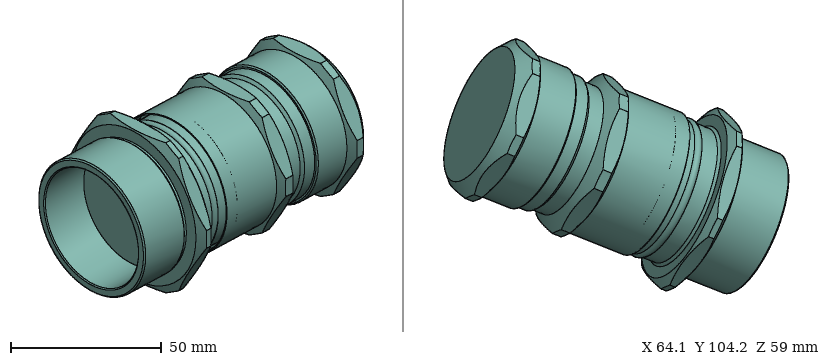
import cadquery as cq
import math

total_length = 104.2

sleeve_diameter = 50.0
undercut_diameter = 49.0
neck_diameter = 48.0
ring_diameter = 49.6
barrel_diameter = 51.1
recess_diameter = 50.2
groove_diameter = 46.0
cap_diameter = 50.4
bore_diameter = 43.6

sleeve_end = 18.7
sleeve_bevel_end = 19.3
flange_start, flange_end = 20.2, 26.1
flange_cone_end = 27.0
ring_start, ring_end = 32.8, 35.6
barrel_start = 38.4
recess_depth = 5.2
middle_nut_start, middle_nut_end = 61.7, 69.8
groove_end = 75.4
cap_start = 81.2
cap_nut_start = 95.2
bore_depth = 18.4

rim_chamfer = 0.5
bore_chamfer = 0.4

flange_flats, flange_corners = 59.0, 64.1
nut_flats, nut_corners = 52.3, 56.4
flange_face_diameter = 57.9
shallow_bevel = 30.0
steep_bevel = 45.0


def body():
    """Turned body as one revolved half-profile (radius, axial station)."""
    sleeve = sleeve_diameter / 2
    undercut = undercut_diameter / 2
    neck = neck_diameter / 2
    barrel = barrel_diameter / 2
    recess = recess_diameter / 2
    groove = groove_diameter / 2
    cap = cap_diameter / 2
    flange_cone_height = flange_cone_end - flange_end
    groove_step = neck - groove
    return (
        cq.Workplane("XY")
        .moveTo(0, 0)
        .lineTo(sleeve - rim_chamfer, 0)
        .lineTo(sleeve, rim_chamfer)
        .lineTo(sleeve, sleeve_end)
        .lineTo(undercut, sleeve_bevel_end)
        .lineTo(undercut, flange_end)
        .lineTo(neck + flange_cone_height, flange_end)
        .lineTo(neck, flange_cone_end)
        .lineTo(neck, ring_start)
        .threePointArc((ring_diameter / 2, (ring_start + ring_end) / 2), (neck, ring_end))
        .lineTo(neck, barrel_start + recess_depth)
        .lineTo(recess, barrel_start + recess_depth)
        .lineTo(recess, barrel_start)
        .lineTo(barrel, barrel_start)
        .lineTo(barrel, middle_nut_start)
        .lineTo(groove, middle_nut_start)
        .lineTo(groove, groove_end)
        .lineTo(neck, groove_end + groove_step)
        .lineTo(neck, cap_start)
        .lineTo(cap - rim_chamfer, cap_start)
        .lineTo(cap, cap_start + rim_chamfer)
        .lineTo(cap, cap_nut_start)
        .lineTo(0, cap_nut_start)
        .close()
        .revolve(360, (0, 0, 0), (0, 1, 0))
    )


def hex_prism(across_flats, start, end, turn):
    """Hexagonal prism along Y; at zero turn its corners lie on the X axis."""
    corner_diameter = across_flats / math.cos(math.pi / 6)
    return (
        cq.Workplane("XZ", origin=(0, start, 0))
        .polygon(6, corner_diameter)
        .extrude(start - end)
        .rotate((0, 0, 0), (0, 1, 0), turn)
    )


def bevelled_hexagon(flats, corners, start, end, start_diameter, end_diameter, end_bevel):
    """Hexagon with cut-off corners, bevelled from a circle on each end face."""
    outer = flats
    start_radius = start_diameter / 2
    end_radius = end_diameter / 2
    start_rise = (outer - start_radius) * math.tan(math.radians(shallow_bevel))
    end_rise = (outer - end_radius) * math.tan(math.radians(end_bevel))

    def widening_cone(face, face_radius, rise):
        return (
            cq.Workplane("XY")
            .polyline([(0, face), (face_radius, face), (outer, face + rise), (0, face + rise)])
            .close()
            .revolve(360, (0, 0, 0), (0, 1, 0))
        )

    return (
        hex_prism(flats, start, end, 0)
        .intersect(hex_prism(corners, start, end, 30))
        .intersect(widening_cone(start, start_radius, start_rise))
        .intersect(widening_cone(end, end_radius, -end_rise))
    )


def bore():
    """Blind bore with a chamfered mouth."""
    radius = bore_diameter / 2
    return (
        cq.Workplane("XY")
        .polyline([
            (0, 0),
            (radius + bore_chamfer, 0),
            (radius, bore_chamfer),
            (radius, bore_depth),
            (0, bore_depth),
        ])
        .close()
        .revolve(360, (0, 0, 0), (0, 1, 0))
    )


flange = bevelled_hexagon(
    flange_flats, flange_corners, flange_start, flange_end,
    flange_face_diameter, flange_face_diameter, shallow_bevel,
)
middle_nut = bevelled_hexagon(
    nut_flats, nut_corners, middle_nut_start, middle_nut_end,
    barrel_diameter, groove_diameter, shallow_bevel,
)
cap_nut = bevelled_hexagon(
    nut_flats, nut_corners, cap_nut_start, total_length,
    cap_diameter, neck_diameter, steep_bevel,
)

result = body().union(flange).union(middle_nut).union(cap_nut).cut(bore())